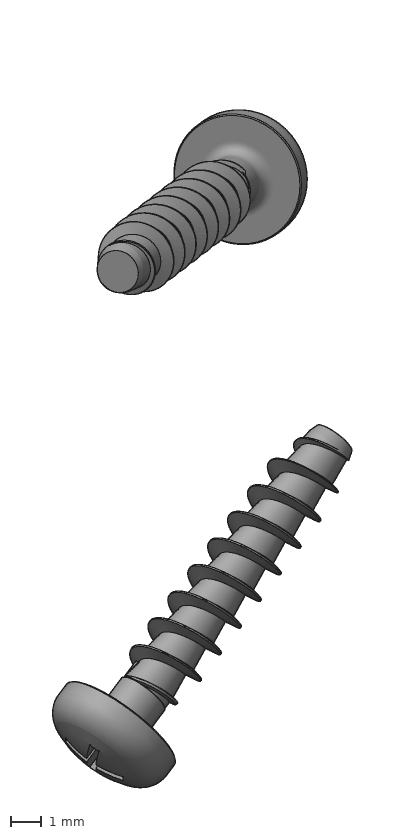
import cadquery as cq
import math


head_radius = 2.2
head_height = 1.69
rim_height = 0.48
rim_chamfer = 0.04
dome_radius = 3.85

recess_wing_width = 0.37
recess_span = 2.3
recess_depth = 0.9

shank_radius = 0.88
neck_fillet = 0.4
shank_length = 1.24

screw_length = 12.0
pitch = 1.12
thread_radius = 1.25
crest_width = 0.06
flank_slope = math.tan(math.radians(15.0))
root_radius_max = 0.85
root_radius_min = 0.74
groove_overshoot = 0.1

full_thread_start = 2.18
full_turns = 7
lead_in_crest_radii = {-3: 0.85, -2: 0.85, -1: 1.0, 0: 1.22}
run_out_crest_radii = {full_turns + 1: 0.96, full_turns + 2: 0.74, full_turns + 3: 0.74}
crest_radii = {**lead_in_crest_radii, **run_out_crest_radii}
first_groove = -3
first_narrowing_groove = -1
last_groove = full_turns + 1

start_radius = 0.98
blank_full_start = full_thread_start + pitch / 4
blank_full_end = full_thread_start + (full_turns + 0.25) * pitch
tip_radius = 0.71


def revolved(outline):
    return outline.close().revolve(360, (0, 0, 0), (0, 1, 0))


def make_head():
    """Pan head: a cylindrical rim blended into a shallow dome by a tangent arc."""
    dome_centre = dome_radius - head_height
    blend_centre = -rim_height
    rise = dome_centre - blend_centre
    blend_radius = (dome_radius**2 - head_radius**2 - rise**2) / (2 * (dome_radius - head_radius))
    offset = head_radius - blend_radius

    tangent_angle = math.atan2(rise, offset)

    def on_circle(x, z, radius, angle):
        return (x + radius * math.cos(angle), z - radius * math.sin(angle))

    blend_end = on_circle(0, dome_centre, dome_radius, tangent_angle)
    blend_middle = on_circle(offset, blend_centre, blend_radius, tangent_angle / 2)
    dome_middle = on_circle(0, dome_centre, dome_radius, (tangent_angle + math.pi / 2) / 2)
    return revolved(
        cq.Workplane("XZ")
        .lineTo(head_radius - rim_chamfer, 0)
        .lineTo(head_radius, -rim_chamfer)
        .lineTo(head_radius, -rim_height)
        .threePointArc(blend_middle, blend_end)
        .threePointArc(dome_middle, (0, -head_height))
    )


def make_recess():
    """Two crossing slots sunk into the dome."""
    top = cq.Workplane("XY").workplane(offset=-head_height)
    wing_x = top.rect(recess_span, recess_wing_width).extrude(recess_depth)
    wing_y = top.rect(recess_wing_width, recess_span).extrude(recess_depth)
    return wing_x.union(wing_y)


def make_shank():
    """Plain cylinder with a concave fillet against the head."""
    fillet_centre = shank_radius + neck_fillet
    reach = neck_fillet * math.sqrt(0.5)
    return revolved(
        cq.Workplane("XZ")
        .lineTo(fillet_centre, 0)
        .threePointArc((fillet_centre - reach, neck_fillet - reach), (shank_radius, neck_fillet))
        .lineTo(shank_radius, shank_length)
        .lineTo(0, shank_length)
    )


def make_thread_blank():
    return revolved(
        cq.Workplane("XZ", origin=(0, 0, 0))
        .moveTo(0, shank_length)
        .lineTo(start_radius, shank_length)
        .lineTo(thread_radius, blank_full_start)
        .lineTo(thread_radius, blank_full_end)
        .lineTo(tip_radius, screw_length)
        .lineTo(0, screw_length)
    )


def flank_offset(radius, turn):
    """Axial distance from the crest centre to its flank at a radius, at the start of a turn."""
    crest_radius = crest_radii.get(turn, thread_radius)
    return crest_width / 2 + (crest_radius - radius) * flank_slope


def make_groove_turn(turn):
    """One turn of the groove between two crests; past the lead-in its floor narrows toward the tip."""
    outer_radius = thread_radius + groove_overshoot
    lower_root = root_radius_min if turn >= first_narrowing_groove else root_radius_max

    def corner_points(at_turn):
        start = full_thread_start + at_turn * pitch
        end = start + pitch
        return [
            cq.Vector(outer_radius, 0, start + flank_offset(outer_radius, at_turn)),
            cq.Vector(root_radius_max, 0, start + flank_offset(root_radius_max, at_turn)),
            cq.Vector(lower_root, 0, end - flank_offset(lower_root, at_turn + 1)),
            cq.Vector(outer_radius, 0, end - flank_offset(outer_radius, at_turn + 1)),
        ]

    first_corners = corner_points(turn)
    last_corners = corner_points(turn + 1)
    edges = []
    for first, last in zip(first_corners, last_corners):
        rise = last.z - first.z
        edges.append(cq.Wire.makeHelix(rise, rise, first.x, center=cq.Vector(0, 0, first.z)))
    faces = [cq.Face.makeRuledSurface(edges[i - 1], edges[i]) for i in range(len(edges))]
    for corners in (first_corners, last_corners):
        faces.append(cq.Face.makeFromWires(cq.Wire.makePolygon(corners, close=True)))
    groove = cq.Solid.makeSolid(cq.Shell.makeShell(faces))
    return cq.Workplane(groove)


def make_thread():
    """Trimmed blank with the groove cut turn by turn, running out past both of its ends."""
    thread = make_thread_blank()
    for turn in range(first_groove, last_groove + 1):
        thread = thread.cut(make_groove_turn(turn), clean=False)
    return thread


head = make_head().cut(make_recess())
body = head.union(make_shank())
screw = body.union(make_thread(), clean=False)
result = screw.rotate((0, 0, 0), (1, 0, 0), 90)